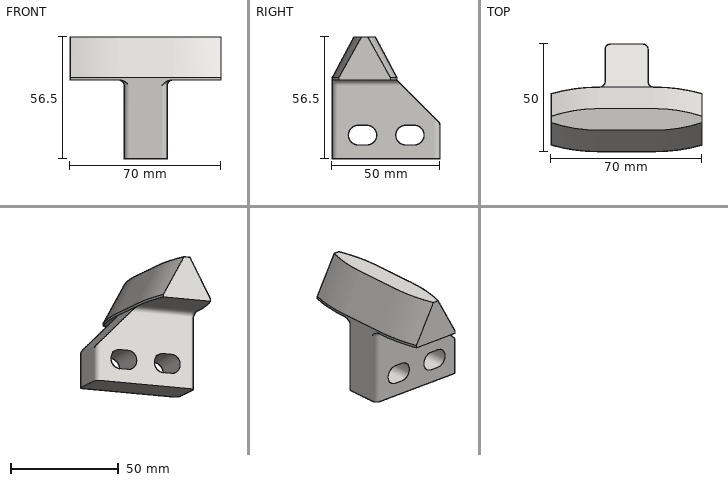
import cadquery as cq
import math

head_length = 70.0
head_width = 30.0
total_height = 56.5
head_height = 20.0
rim_height = 1.2
crown_width = 10.0
flat_length = 26.2
side_radius = 79.45

leg_width = 20.0
leg_depth = 50.0
round_radius = 2.5

slot_length = 13.0
slot_height = 9.0
slot_spacing = 22.0
rear_slot_y = 21.0
slot_z = 11.0

head_bottom = total_height - head_height
rim_top = head_bottom + rim_height
front_y = -head_width / 2
rear_y = front_y + leg_depth
toe_top = head_bottom - (rear_y - head_width / 2)


def side_drop(radius, distance):
    """Inward drop of a tangent arc at a distance along the head."""
    return radius - math.sqrt(radius**2 - distance**2)


def head_outline(z, width, radius):
    """Long outline with straight middles, tangent arcs and square ends."""
    half_flat = flat_length / 2
    half_length = head_length / 2
    half_width = width / 2
    run = half_length - half_flat
    end_y = half_width - side_drop(radius, run)
    mid_x = half_flat + run / 2
    mid_y = half_width - side_drop(radius, run / 2)
    return (
        cq.Workplane("XY", origin=(0, 0, z))
        .moveTo(-half_flat, half_width)
        .lineTo(half_flat, half_width)
        .threePointArc((mid_x, mid_y), (half_length, end_y))
        .lineTo(half_length, -end_y)
        .threePointArc((mid_x, -mid_y), (half_flat, -half_width))
        .lineTo(-half_flat, -half_width)
        .threePointArc((-mid_x, -mid_y), (-half_length, -end_y))
        .lineTo(-half_length, end_y)
        .threePointArc((-mid_x, mid_y), (-half_flat, half_width))
        .close()
    )


def make_head():
    rim = head_outline(head_bottom, head_width, side_radius).extrude(rim_height)
    inset = (head_width - crown_width) / 2
    base_wire = head_outline(rim_top, head_width, side_radius).val()
    crown_wire = head_outline(total_height, crown_width, side_radius - inset).val()
    taper = cq.Solid.makeLoft([base_wire, crown_wire], True)
    return rim.union(cq.Workplane(taper))


def make_leg():
    """Rounded post flaring out at its top, trimmed to the sloped side profile."""
    margin = 3 * round_radius
    center_y = (front_y + rear_y) / 2
    post = (
        cq.Workplane("XY")
        .center(0, center_y)
        .rect(leg_width, leg_depth)
        .extrude(head_bottom)
        .edges("|Z")
        .fillet(round_radius)
    )
    plate = (
        cq.Workplane("XY", origin=(0, center_y, head_bottom))
        .rect(leg_width + 2 * margin, leg_depth + 2 * margin)
        .extrude(rim_height)
    )
    reach = rim_height / 2
    junction = cq.selectors.BoxSelector(
        (-leg_width / 2 - reach, front_y - reach, head_bottom - reach),
        (leg_width / 2 + reach, rear_y + reach, head_bottom + reach),
        boundingbox=True,
    )
    flared = post.union(plate).edges(junction).fillet(round_radius)
    profile = (
        cq.Workplane("YZ")
        .polyline([
            (front_y, 0),
            (rear_y, 0),
            (rear_y, toe_top),
            (head_width / 2, head_bottom),
            (front_y, head_bottom),
        ])
        .close()
        .extrude(head_length / 2, both=True)
    )
    toe_edge = cq.selectors.NearestToPointSelector((0, rear_y, toe_top))
    profile = profile.edges("|X").edges(toe_edge).fillet(round_radius)
    return flared.intersect(profile)


def make_slots():
    return (
        cq.Workplane("YZ")
        .pushPoints([(rear_slot_y, slot_z), (rear_slot_y - slot_spacing, slot_z)])
        .slot2D(slot_length, slot_height)
        .extrude(leg_width, both=True)
    )


result = make_head().union(make_leg()).cut(make_slots())